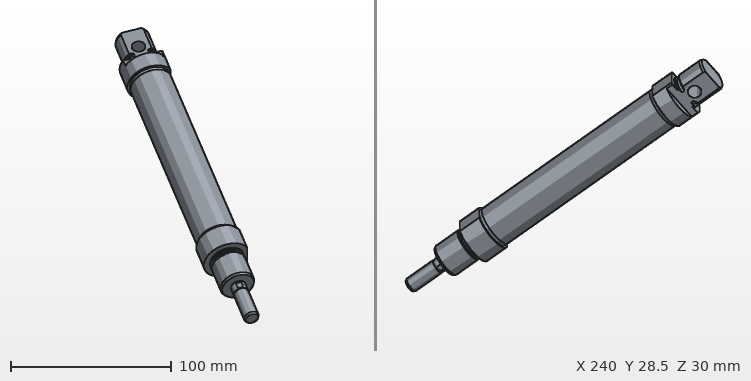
import cadquery as cq


rear_flange_start = 21.5
rear_shoulder = 26.2
rear_flange_end = 37.0
barrel_start = 39.0
barrel_end = 172.0
front_flange_start = 174.2
front_flange_end = 189.5
front_nose_end = 212.2
rod_end = 240.0

barrel_radius = 13.5

flange_diameter = 30.0
flange_radius = flange_diameter / 2
flange_side_flat = barrel_radius
spigot_radius = barrel_radius
thread_radius = 11.0
groove_radius = 9.4
groove_corner = 0.7
groove_width = 2.6
collar_width = 1.2
tongue_thickness = 16.3
pin_hole_diameter = 8.5
pin_hole_x = 14.0
thread_chamfer_length = 1.5
thread_chamfer_depth = 0.7

rod_radius = 4.8
rod_shank_end = 218.0
shank_chamfer_length = 1.7
shank_chamfer_depth = 0.5
wrench_flat_start = 213.0
wrench_flat_size = 9.0
rod_tip_chamfer_length = 1.5
rod_tip_chamfer_depth = 0.7


def turned(profile):
    """Solid turned around the X axis from (x, radius) points that start and end on the axis."""
    return cq.Workplane("XY").polyline(profile).close().revolve(360, (0, 0, 0), (1, 0, 0))


def block(x_start, x_end, y_start, y_end, z_start, z_end):
    """Box between the given limits."""
    corner = (x_start, y_start, z_start)
    size = (x_end - x_start, y_end - y_start, z_end - z_start)
    return cq.Workplane("XY").box(*size, centered=False).translate(corner)


def groove_points(flange_face, outward):
    """Profile from the flange face out to the thread; outward is +1 or -1 along X."""
    collar_face = flange_face + outward * collar_width
    thread_face = collar_face + outward * groove_width
    return [
        (flange_face, thread_radius),
        (collar_face, thread_radius),
        (collar_face, groove_radius),
        (thread_face - outward * groove_corner, groove_radius),
        (thread_face, groove_radius + groove_corner),
        (thread_face, thread_radius),
    ]


def flange_side_cut(x_start, x_end):
    """Material outside the flat on the +Y side of a flange."""
    reach = flange_radius
    return block(x_start, x_end, flange_side_flat, 2 * reach, -reach, reach)


def make_rear_cap():
    cap = turned(
        [(0, 0), (0, thread_radius - thread_chamfer_depth), (thread_chamfer_length, thread_radius)]
        + groove_points(rear_flange_start, -1)[::-1]
        + [
            (rear_flange_start, flange_radius),
            (rear_flange_end, flange_radius),
            (rear_flange_end, spigot_radius),
            (barrel_start, spigot_radius),
            (barrel_start, 0),
        ]
    )
    cap = cap.cut(flange_side_cut(rear_flange_start, rear_flange_end))
    half_thickness = tongue_thickness / 2
    reach = flange_radius
    cap = cap.cut(block(0, rear_shoulder, -reach, reach, half_thickness, reach))
    cap = cap.cut(block(0, rear_shoulder, -reach, reach, -reach, -half_thickness))
    pin_hole = (
        cq.Workplane("XY")
        .center(pin_hole_x, 0)
        .circle(pin_hole_diameter / 2)
        .extrude(tongue_thickness, both=True)
    )
    return cap.cut(pin_hole)


def make_barrel():
    length = barrel_end - barrel_start
    return cq.Workplane("YZ").workplane(offset=barrel_start).circle(barrel_radius).extrude(length)


def make_front_cap():
    cap = turned(
        [
            (barrel_end, 0),
            (barrel_end, spigot_radius),
            (front_flange_start, spigot_radius),
            (front_flange_start, flange_radius),
            (front_flange_end, flange_radius),
        ]
        + groove_points(front_flange_end, 1)
        + [
            (front_nose_end - thread_chamfer_length, thread_radius),
            (front_nose_end, thread_radius - thread_chamfer_depth),
            (front_nose_end, 0),
        ]
    )
    return cap.cut(flange_side_cut(front_flange_start, front_flange_end))


def make_rod():
    rod = turned(
        [
            (front_nose_end, 0),
            (front_nose_end, rod_radius),
            (rod_shank_end - shank_chamfer_length, rod_radius),
            (rod_shank_end, rod_radius - shank_chamfer_depth),
            (rod_shank_end, rod_radius),
            (rod_end - rod_tip_chamfer_length, rod_radius),
            (rod_end, rod_radius - rod_tip_chamfer_depth),
            (rod_end, 0),
        ]
    )
    half_size = wrench_flat_size / 2
    reach = rod_radius
    for z_start, z_end in [(half_size, reach), (-reach, -half_size)]:
        rod = rod.cut(block(wrench_flat_start, rod_shank_end, -reach, reach, z_start, z_end))
    return rod


rear_cap = make_rear_cap()
barrel = make_barrel()
front_cap = make_front_cap()
rod = make_rod()

result = cq.Compound.makeCompound([rear_cap.val(), barrel.val(), front_cap.val(), rod.val()])